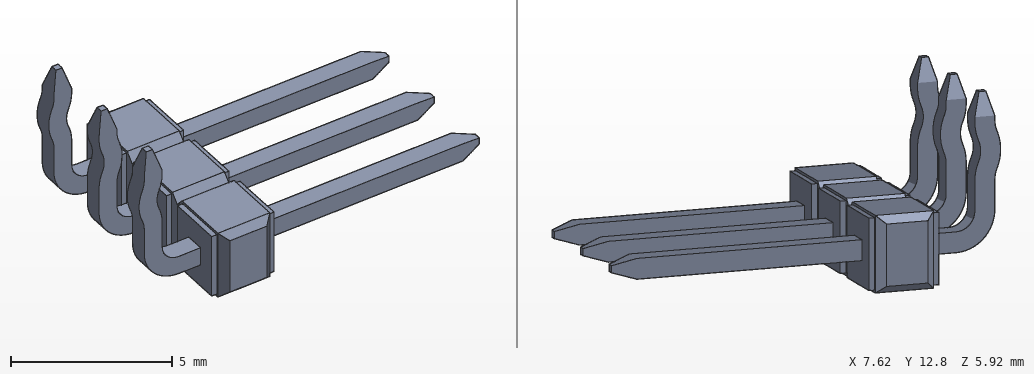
import cadquery as cq


pin_count = 3
row_width = 7.62
pitch = row_width / pin_count

body_depth = 1.93
body_height = 2.47
end_length = 0.25
end_inset_y = 0.28
end_inset_z = 0.24
notch_width = 0.54
notch_depth = 0.31
pad_width = 1.92
pad_height = 2.3
pads_depth = 2.32

pin_size = 0.67
tip_size = 0.23
tip_length = 0.75
rear_reach = 9.36
front_reach = 3.45
overall_height = 5.92
top_reach = overall_height - body_height / 2
bend_radius = 0.96
kink_height = 2.85
kink_half_length = 0.94
kink_offset = 0.19
leg_y = -(front_reach - kink_offset - pin_size / 2)


def make_end(side):
    """Bevelled end of the body; side is -1 for the -X end and 1 for the +X end."""
    start = side * (row_width / 2 - end_length)
    return (
        cq.Workplane("YZ", origin=(start, 0, 0))
        .rect(body_depth, body_height)
        .workplane(offset=side * end_length)
        .rect(body_depth - 2 * end_inset_y, body_height - 2 * end_inset_z)
        .loft(ruled=True)
    )


def make_notch(x, side):
    """V-shaped groove along Y between two pins; side is 1 for the top and -1 for the bottom."""
    surface = side * body_height / 2
    return (
        cq.Workplane("XZ", origin=(x, body_depth / 2, 0))
        .moveTo(-notch_width / 2, surface)
        .lineTo(0, surface - side * notch_depth)
        .lineTo(notch_width / 2, surface)
        .close()
        .extrude(body_depth)
    )


def make_tip(base_plane):
    """Tapered square point standing on a pin end."""
    return (
        cq.Workplane(base_plane)
        .rect(pin_size, pin_size)
        .workplane(offset=tip_length)
        .rect(tip_size, tip_size)
        .loft(ruled=True)
    )


def make_pin(x, kink_side):
    """Bent square pin; kink_side is -1 to bulge forwards and 1 to bulge towards the body."""
    shank_end = rear_reach - tip_length
    leg_end = top_reach - tip_length
    kink_start = kink_height - kink_half_length
    kink_end = kink_height + kink_half_length
    inflection_y = leg_y + kink_side * kink_offset / 2
    path = (
        cq.Workplane("YZ", origin=(x, 0, 0))
        .moveTo(shank_end, 0)
        .lineTo(leg_y + bend_radius, 0)
        .tangentArcPoint((leg_y, bend_radius), relative=False)
        .lineTo(leg_y, kink_start)
        .tangentArcPoint((inflection_y, kink_height - kink_half_length / 2), relative=False)
        .tangentArcPoint((inflection_y, kink_height + kink_half_length / 2), relative=False)
        .tangentArcPoint((leg_y, kink_end), relative=False)
        .lineTo(leg_y, leg_end)
    )
    shank_plane = cq.Plane(origin=(x, shank_end, 0), xDir=(1, 0, 0), normal=(0, 1, 0))
    leg_plane = cq.Plane(origin=(x, leg_y, leg_end), xDir=(1, 0, 0), normal=(0, 0, 1))
    bar = cq.Workplane(shank_plane).rect(pin_size, pin_size).sweep(path)
    return bar.union(make_tip(shank_plane)).union(make_tip(leg_plane))


result = cq.Workplane("XY").box(row_width - 2 * end_length, body_depth, body_height)
for side in (-1, 1):
    result = result.union(make_end(side))

for gap in range(1, pin_count):
    for side in (-1, 1):
        result = result.cut(make_notch(gap * pitch - row_width / 2, side))

for index in range(pin_count):
    pin_x = (index + 0.5) * pitch - row_width / 2
    pads = cq.Workplane("XY").box(pad_width, pads_depth, pad_height).translate((pin_x, 0, 0))
    kink_side = -1 if index % 2 == 0 else 1
    result = result.union(pads).union(make_pin(pin_x, kink_side))